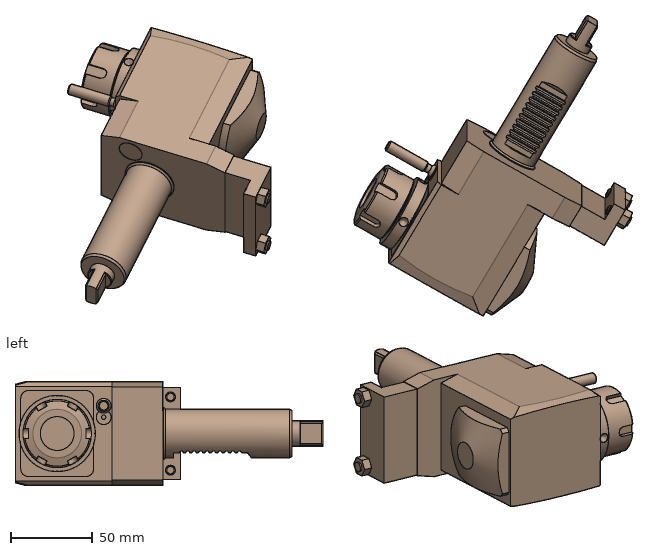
import cadquery as cq
import math

HEIGHT = 64.0
HALF_HEIGHT = HEIGHT / 2
BEVEL_SLOPE = math.tan(math.radians(15))

FOOT_LEFT = -32.3
HEAD_LEFT = -35.2
HOUSING_RIGHT = 32.3
HOUSING_BACK = 91.0
FOOT_TOP = 31.4
PLATE_RIGHT = 49.8
PLATE_THICK = 15.4
BEVEL_RUN = 12.2
BEVEL_DROP = BEVEL_RUN * BEVEL_SLOPE
HEAD_CHAMFER = 2.8
CROWN_RADIUS = 165.3
CROWN_X = -6.0
CROWN_BACK = 85.1
CROWN_Y = CROWN_BACK - CROWN_RADIUS
MARK_DEPTH = 0.2
PLUG_X = -12.7
PLUG_Z = 21.7
PLUG_RADIUS = 7.6

ARM_HALF_HEIGHT = 28.5
ARM_RIGHT = 74.5
ARM_BACK = 14.8
ARM_FRONT = 0.4
LEG_THICK = 8.0
LEG_FRONT = -11.0
SCREW_Y = -4.8
SCREW_Z = 22.6
SCREW_RADIUS = 3.0
SCREW_LEFT = 65.2
SCREW_RIGHT = 81.0
SCREW_CHAMFER = 0.8
HEX_NUT_ACROSS_CORNERS = 12.0
HEX_NUT_THICK = 5.3

SHANK_RADIUS = 15.0
SHANK_END = -79.8
SHANK_CHAMFER_LENGTH = 1.7
SHANK_CHAMFER_DROP = 0.8
COLLAR_RADIUS = 16.2
COLLAR_STEP = -0.5
COLLAR_END = -1.7
NECK_RADIUS = 8.0
NECK_END = -85.1
NECK_CHAMFER = 0.5
TANG_WIDTH = 8.4
TANG_FLAT_HEIGHT = 12.2
TANG_END = -99.0
TANG_CHAMFER = 1.0
RACK_START = -6.6
RACK_END = -52.2
RACK_RUNOUT = 2.5
RACK_Z = -12.0
TOOTH_COUNT = 10
TOOTH_PITCH = 4.0
FIRST_GAP = -11.4
GAP_DEPTH = 1.1
GAP_MOUTH = 3.0
GAP_ROOT = 1.3

SPINDLE_Y = 65.2
SPINDLE_FRONT = -65.0
FACE_RADIUS = 15.0
CONE_RADIUS = 20.1
CONE_LENGTH = 1.5
COLLET_NUT_RADIUS = 21.0
COLLET_NUT_LIP = 2.5
COLLET_NUT_BACK = -44.0
COLLET_NUT_BACK_CHAMFER = 0.5
FRONT_GROOVE_RADIUS = 16.2
RING_FRONT = -43.0
RING_BACK = -36.0
RING_RADIUS = 23.5
BACK_GROOVE_RADIUS = 19.0
BORE_RADIUS = 10.5
BORE_DEPTH = 1.9
SLOT_COUNT = 6
SLOT_WIDTH = 6.3
SLOT_FLOOR = 17.9
LONG_SLOT_END = -50.4
SHORT_SLOT_END = -52.5
PIN_HOLE_COUNT = 4
PIN_HOLE_RADIUS = 2.8
PIN_HOLE_DEPTH = 3.2
PIN_HOLE_X = -39.5
PAD_WIDTH = 45.0
PAD_HEIGHT = 53.2
PAD_CORNER = 5.0

PIPE_Y = 36.5
PIPE_Z = 17.1
PIPE_FRONT = -67.8
PIPE_BACK = -40.0
PIPE_RADIUS = 3.5
PIPE_CHAMFER = 0.8
PIPE_NECK_RADIUS = 2.7
PIPE_NECK_BACK = -37.5
PIPE_BASE_RADIUS = 4.5
NOZZLE_Z = 10.0
NOZZLE_RADIUS = 4.5
NOZZLE_HOLE_RADIUS = 1.3
NOZZLE_HOLE_DEPTH = 1.0

COVER_RADIUS = 32.3
COVER_RIM = 37.0
COVER_RIGHT = 48.3
COVER_TIP_RADIUS = 8.5
COVER_HALF_HEIGHT = 22.2
COVER_BACK = 89.7
COVER_CORNER = 2.3

OVERLAP = 1.9


def span_box(x0, x1, y0, y1, z0, z1):
    """Box between two opposite corners."""
    return cq.Workplane("XY").box(x1 - x0, y1 - y0, z1 - z0, centered=False).translate((x0, y0, z0))


def turned_x(profile, y, z):
    """Body of revolution about a line along X; the profile holds (x, radius) points."""
    solid = cq.Workplane("XY").polyline(profile).close().revolve(360, (0, 0, 0), (1, 0, 0))
    return solid.translate((0, y, z))


def turned_y(profile):
    """Body of revolution about the Y axis; the profile holds (radius, y) points."""
    return cq.Workplane("XY").polyline(profile).close().revolve(360, (0, 0, 0), (0, 1, 0))


def rod_x(x0, x1, radius, y, z):
    """Plain cylinder along X."""
    return cq.Workplane("YZ", origin=(x0, y, z)).circle(radius).extrude(x1 - x0)


def bevelled_block(left, right, left_run, left_drop, y0, y1):
    """Block whose upper and lower edges are bevelled on the left and right sides."""
    upper = [
        (left, HALF_HEIGHT - left_drop),
        (left + left_run, HALF_HEIGHT),
        (right - BEVEL_RUN, HALF_HEIGHT),
        (right, HALF_HEIGHT - BEVEL_DROP),
    ]
    lower = [(x, -z) for x, z in reversed(upper)]
    return cq.Workplane("XZ", origin=(0, y0, 0)).polyline(upper + lower).close().extrude(y0 - y1)


def crown():
    """Double cone about a vertical axis that bevels the rear edges along shallow arcs."""
    middle_radius = CROWN_RADIUS + HALF_HEIGHT / BEVEL_SLOPE
    profile = [
        (0, -HALF_HEIGHT),
        (CROWN_RADIUS, -HALF_HEIGHT),
        (middle_radius, 0),
        (CROWN_RADIUS, HALF_HEIGHT),
        (0, HALF_HEIGHT),
    ]
    solid = cq.Workplane("XZ").polyline(profile).close().revolve(360, (0, 0, 0), (0, 1, 0))
    return solid.translate((CROWN_X, CROWN_Y, 0))


def housing():
    plate = bevelled_block(FOOT_LEFT, PLATE_RIGHT, BEVEL_RUN, BEVEL_DROP, 0, PLATE_THICK)
    foot = bevelled_block(FOOT_LEFT, HOUSING_RIGHT, BEVEL_RUN, BEVEL_DROP, 0, FOOT_TOP)
    head = bevelled_block(
        HEAD_LEFT, HOUSING_RIGHT, HEAD_CHAMFER, HEAD_CHAMFER, FOOT_TOP, HOUSING_BACK
    )
    body = plate.union(foot).union(head).intersect(crown())

    plug = cq.Workplane("XZ", origin=(PLUG_X, 0, PLUG_Z)).circle(PLUG_RADIUS).extrude(-MARK_DEPTH)
    pad = (
        cq.Workplane("YZ", origin=(HEAD_LEFT, SPINDLE_Y, 0))
        .rect(PAD_WIDTH, PAD_HEIGHT)
        .extrude(MARK_DEPTH)
        .edges("|X")
        .fillet(PAD_CORNER)
    )
    nozzle = rod_x(HEAD_LEFT, HEAD_LEFT + MARK_DEPTH, NOZZLE_RADIUS, PIPE_Y, NOZZLE_Z)
    nozzle_hole = rod_x(
        HEAD_LEFT, HEAD_LEFT + NOZZLE_HOLE_DEPTH, NOZZLE_HOLE_RADIUS, PIPE_Y, NOZZLE_Z
    )
    return body.cut(plug).cut(pad).cut(nozzle).cut(nozzle_hole)


def clamping_screw(z):
    """Screw through the leg of the arm, with a hexagon nut on its right side."""
    shaft = rod_x(SCREW_LEFT, SCREW_RIGHT, SCREW_RADIUS, SCREW_Y, z).faces("<X").chamfer(SCREW_CHAMFER)
    nut = (
        cq.Workplane("YZ", origin=(ARM_RIGHT, SCREW_Y, z))
        .polygon(6, HEX_NUT_ACROSS_CORNERS)
        .extrude(HEX_NUT_THICK)
    )
    return shaft.union(nut)


def arm():
    half = ARM_HALF_HEIGHT
    beam = span_box(PLATE_RIGHT - OVERLAP, ARM_RIGHT, ARM_FRONT, ARM_BACK, -half, half)
    leg = span_box(ARM_RIGHT - LEG_THICK, ARM_RIGHT, LEG_FRONT, ARM_BACK, -half, half)
    body = beam.union(leg)
    for z in (-SCREW_Z, SCREW_Z):
        body = body.union(clamping_screw(z))
    return body


def rack_cutter():
    """Flat along the underside of the shank with a row of tooth gaps."""
    below = -SHANK_RADIUS - OVERLAP
    runout_per_depth = RACK_RUNOUT / (SHANK_RADIUS + RACK_Z)
    flat = [
        (RACK_START, below),
        (RACK_START, RACK_Z),
        (RACK_END, RACK_Z),
        (RACK_END - runout_per_depth * (RACK_Z - below), below),
    ]
    half_length = SHANK_RADIUS
    plane = cq.Workplane("YZ")
    cutter = plane.polyline(flat).close().extrude(half_length, both=True)
    for i in range(TOOTH_COUNT):
        y = FIRST_GAP - i * TOOTH_PITCH
        gap = [
            (y - GAP_MOUTH / 2, RACK_Z),
            (y - GAP_ROOT / 2, RACK_Z + GAP_DEPTH),
            (y + GAP_ROOT / 2, RACK_Z + GAP_DEPTH),
            (y + GAP_MOUTH / 2, RACK_Z),
        ]
        cutter = cutter.union(plane.polyline(gap).close().extrude(half_length, both=True))
    return cutter


def tang():
    """Round bar end with two parallel flats whose edges are bevelled."""
    start = NECK_END + OVERLAP
    bar = cq.Workplane("XZ", origin=(0, start, 0)).circle(NECK_RADIUS).extrude(start - TANG_END)
    half_width = TANG_WIDTH / 2
    half_flat = TANG_FLAT_HEIGHT / 2 + TANG_CHAMFER
    flats = span_box(-half_width, half_width, TANG_END, start, -half_flat, half_flat)
    flats = flats.faces("<X or >X").edges("|Y or <Y").chamfer(TANG_CHAMFER)
    middle = half_width - TANG_CHAMFER
    core = span_box(-middle, middle, TANG_END, start, -NECK_RADIUS, NECK_RADIUS)
    return bar.intersect(flats.union(core))


def shank():
    profile = [
        (0, OVERLAP),
        (COLLAR_RADIUS, OVERLAP),
        (COLLAR_RADIUS, COLLAR_STEP),
        (SHANK_RADIUS, COLLAR_END),
        (SHANK_RADIUS, SHANK_END + SHANK_CHAMFER_LENGTH),
        (SHANK_RADIUS - SHANK_CHAMFER_DROP, SHANK_END),
        (NECK_RADIUS, SHANK_END),
        (NECK_RADIUS, NECK_END + NECK_CHAMFER),
        (NECK_RADIUS - NECK_CHAMFER, NECK_END),
        (0, NECK_END),
    ]
    return turned_y(profile).cut(rack_cutter()).union(tang())


def wrench_slot(angle, slot_end):
    """Round-ended slot cut into the rim of the collet nut."""
    radius = SLOT_WIDTH / 2
    round_x = slot_end - radius
    length = round_x - SPINDLE_FRONT + OVERLAP
    straight = (
        cq.Workplane("XY", origin=(round_x - length / 2, 0, SLOT_FLOOR))
        .rect(length, SLOT_WIDTH)
        .extrude(COLLET_NUT_RADIUS)
    )
    end = cq.Workplane("XY", origin=(round_x, 0, SLOT_FLOOR)).circle(radius).extrude(COLLET_NUT_RADIUS)
    return straight.union(end).rotate((0, 0, 0), (1, 0, 0), angle).translate((0, SPINDLE_Y, 0))


def ring_hole(angle):
    """Blind radial hole with a conical bottom for a pin spanner."""
    tip = RING_RADIUS - PIN_HOLE_DEPTH
    profile = [
        (0, tip),
        (PIN_HOLE_RADIUS, tip + PIN_HOLE_RADIUS),
        (PIN_HOLE_RADIUS, RING_RADIUS + OVERLAP),
        (0, RING_RADIUS + OVERLAP),
    ]
    hole = cq.Workplane("XZ").polyline(profile).close().revolve(360, (0, 0, 0), (0, 1, 0))
    hole = hole.translate((PIN_HOLE_X, 0, 0))
    return hole.rotate((0, 0, 0), (1, 0, 0), angle).translate((0, SPINDLE_Y, 0))


def spindle():
    profile = [
        (SPINDLE_FRONT, 0),
        (SPINDLE_FRONT, FACE_RADIUS),
        (SPINDLE_FRONT + CONE_LENGTH, CONE_RADIUS),
        (SPINDLE_FRONT + COLLET_NUT_LIP, COLLET_NUT_RADIUS),
        (COLLET_NUT_BACK - COLLET_NUT_BACK_CHAMFER, COLLET_NUT_RADIUS),
        (COLLET_NUT_BACK, COLLET_NUT_RADIUS - COLLET_NUT_BACK_CHAMFER),
        (COLLET_NUT_BACK, FRONT_GROOVE_RADIUS),
        (RING_FRONT, FRONT_GROOVE_RADIUS),
        (RING_FRONT, RING_RADIUS),
        (RING_BACK, RING_RADIUS),
        (RING_BACK, BACK_GROOVE_RADIUS),
        (HEAD_LEFT + OVERLAP, BACK_GROOVE_RADIUS),
        (HEAD_LEFT + OVERLAP, 0),
    ]
    body = turned_x(profile, SPINDLE_Y, 0)
    for i in range(SLOT_COUNT):
        lies_sideways = i % (SLOT_COUNT // 2) == 0
        slot_end = SHORT_SLOT_END if lies_sideways else LONG_SLOT_END
        body = body.cut(wrench_slot(90 + i * 360 / SLOT_COUNT, slot_end))
    for i in range(PIN_HOLE_COUNT):
        body = body.cut(ring_hole(i * 360 / PIN_HOLE_COUNT))
    return body.cut(rod_x(SPINDLE_FRONT, SPINDLE_FRONT + BORE_DEPTH, BORE_RADIUS, SPINDLE_Y, 0))


def coolant_pipe():
    profile = [
        (PIPE_FRONT, 0),
        (PIPE_FRONT, PIPE_RADIUS - PIPE_CHAMFER),
        (PIPE_FRONT + PIPE_CHAMFER, PIPE_RADIUS),
        (PIPE_BACK - PIPE_CHAMFER, PIPE_RADIUS),
        (PIPE_BACK, PIPE_NECK_RADIUS),
        (PIPE_NECK_BACK, PIPE_NECK_RADIUS),
        (HEAD_LEFT, PIPE_BASE_RADIUS),
        (HEAD_LEFT + OVERLAP, PIPE_BASE_RADIUS),
        (HEAD_LEFT + OVERLAP, 0),
    ]
    return turned_x(profile, PIPE_Y, PIPE_Z)


def cover():
    """Conical cover with flat upper, lower and rear sides."""
    left = HOUSING_RIGHT - OVERLAP
    profile = [
        (left, 0),
        (left, COVER_RADIUS),
        (COVER_RIM, COVER_RADIUS),
        (COVER_RIGHT, COVER_TIP_RADIUS),
        (COVER_RIGHT, 0),
    ]
    half = COVER_HALF_HEIGHT
    bounds = span_box(left, COVER_RIGHT, SPINDLE_Y - COVER_RADIUS, COVER_BACK, -half, half)
    bounds = bounds.edges("|X and >Y").chamfer(COVER_CORNER)
    return turned_x(profile, SPINDLE_Y, 0).intersect(bounds)


result = housing()
for piece in (arm(), shank(), spindle(), coolant_pipe(), cover()):
    result = result.union(piece)